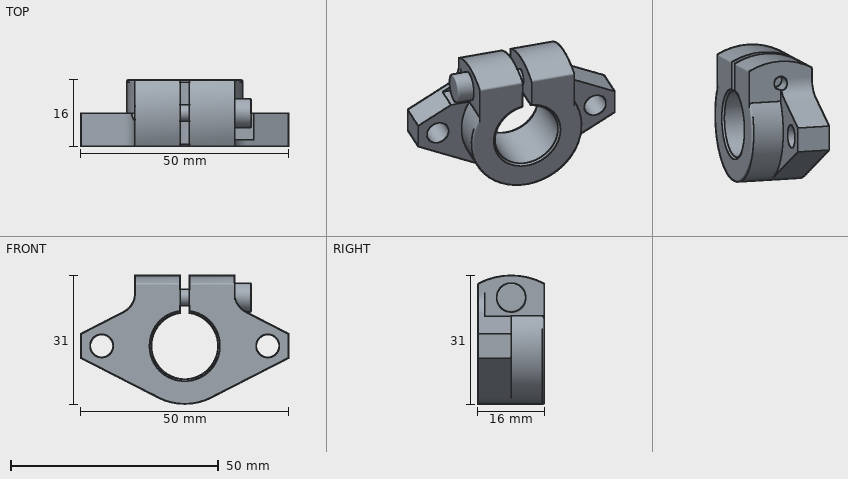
import cadquery as cq
import math

length = 50.0
depth = 16.0
flange_thickness = 8.0
flange_end_height = 5.85
mount_hole_diameter = 5.5
mount_hole_spacing = 40.0

bore_diameter = 16.0
bore_chamfer = 0.5
ring_radius = 14.0
ring_edge_fillet = 0.5

clamp_width = 24.0
clamp_top_radius = 17.0
clamp_edge_fillet = 0.5
clamp_root_fillet = 5.0
slot_width = 2.25

screw_height = 11.65
screw_diameter = 4.0
screw_length = 20.0
screw_head_diameter = 7.0
screw_head_height = 4.0
screw_head_fillet = 0.4
tapping_diameter = 3.24

relief_floor_height = 7.2
relief_front_wall = 1.65

front_face = -depth / 2
rear_face = depth / 2
flange_rear = front_face + flange_thickness
half_length = length / 2
half_clamp = clamp_width / 2
half_end = flange_end_height / 2
screw_tip = half_clamp - screw_length

corner_distance = math.hypot(half_length, half_end)
tangent_angle = math.acos(ring_radius / corner_distance) + math.atan2(half_end, half_length)
tangent_x = ring_radius * math.cos(tangent_angle)
tangent_z = ring_radius * math.sin(tangent_angle)


def prism(outline, y_start, y_end):
    """Extrude a closed XZ outline between two Y positions."""
    return outline.extrude(-(y_end - y_start)).translate((0, y_start, 0))


def rod_x(diameter, x_start, x_end):
    """Cylinder along X on the screw axis."""
    circle = cq.Workplane("YZ", origin=(x_start, 0, screw_height)).circle(diameter / 2)
    return circle.extrude(x_end - x_start)


def make_flange():
    """Lozenge plate that wraps around the bottom of the ring."""
    outline = (
        cq.Workplane("XZ")
        .moveTo(-tangent_x, tangent_z)
        .lineTo(-half_length, half_end)
        .lineTo(-half_length, -half_end)
        .lineTo(-tangent_x, -tangent_z)
        .threePointArc((0, -ring_radius), (tangent_x, -tangent_z))
        .lineTo(half_length, -half_end)
        .lineTo(half_length, half_end)
        .lineTo(tangent_x, tangent_z)
        .close()
    )
    return prism(outline, front_face, flange_rear)


def make_ring():
    """Full-depth ring around the bore, rounded at its rear edge."""
    ring = prism(cq.Workplane("XZ").circle(ring_radius), front_face, rear_face)
    return ring.faces(">Y").edges().fillet(ring_edge_fillet)


def make_clamp_block():
    """Block above the shaft axis with a crowned top along X."""
    shoulder = math.sqrt(clamp_top_radius ** 2 - rear_face ** 2)
    block = (
        cq.Workplane("YZ", origin=(-half_clamp, 0, 0))
        .moveTo(front_face, 0)
        .lineTo(front_face, shoulder)
        .threePointArc((0, clamp_top_radius), (rear_face, shoulder))
        .lineTo(rear_face, 0)
        .close()
        .extrude(clamp_width)
    )
    shoulder_edges = block.faces("<Y or >Y").edges(">Z")
    return shoulder_edges.fillet(clamp_edge_fillet)


def make_root_fillet(side):
    """Concave web blending one flange slope into the clamp side; side is -1 or 1."""
    root_z = (ring_radius - half_clamp * math.cos(tangent_angle)) / math.sin(tangent_angle)
    setback = clamp_root_fillet * math.tan(tangent_angle / 2)
    center_x = half_clamp + clamp_root_fillet
    center_z = root_z + setback
    end_x = center_x - clamp_root_fillet * math.cos(tangent_angle)
    end_z = center_z - clamp_root_fillet * math.sin(tangent_angle)
    middle_x = center_x - clamp_root_fillet * math.cos(tangent_angle / 2)
    middle_z = center_z - clamp_root_fillet * math.sin(tangent_angle / 2)
    outline = (
        cq.Workplane("XZ")
        .moveTo(0, center_z)
        .lineTo(side * half_clamp, center_z)
        .threePointArc((side * middle_x, middle_z), (side * end_x, end_z))
        .lineTo(0, 0)
        .close()
    )
    return prism(outline, front_face, flange_rear)


def make_bore_cutter():
    """Shaft bore with a chamfer at both mouths."""
    bore_radius = bore_diameter / 2
    mouth_radius = bore_radius + bore_chamfer
    profile = (
        cq.Workplane("XY")
        .moveTo(0, front_face)
        .lineTo(mouth_radius, front_face)
        .lineTo(bore_radius, front_face + bore_chamfer)
        .lineTo(bore_radius, rear_face - bore_chamfer)
        .lineTo(mouth_radius, rear_face)
        .lineTo(0, rear_face)
        .close()
    )
    return profile.revolve(360, (0, 0, 0), (0, 1, 0))


def make_slot_cutter():
    """Clamping slot from the bore up through the crown."""
    return cq.Workplane("XY").box(slot_width, depth, clamp_top_radius, centered=(True, True, False))


def make_relief_cutter():
    """Flat-floored clearance in the flange below the screw head."""
    front_wall = front_face + relief_front_wall
    size = (half_length - half_clamp, flange_rear - front_wall, clamp_top_radius)
    relief = cq.Workplane("XY").box(*size, centered=False)
    return relief.translate((half_clamp, front_wall, relief_floor_height))


def make_mount_holes():
    """Bolt holes through both flange ears."""
    holes = cq.Workplane("XZ").rarray(mount_hole_spacing, 1, 2, 1).circle(mount_hole_diameter / 2)
    return prism(holes, front_face, flange_rear)


def make_housing():
    body = make_flange().union(make_ring()).union(make_clamp_block())
    for side in (-1, 1):
        body = body.union(make_root_fillet(side))
    body = body.cut(make_bore_cutter()).cut(make_slot_cutter())
    body = body.cut(make_mount_holes()).cut(make_relief_cutter())
    body = body.cut(rod_x(tapping_diameter, -half_length, screw_tip))
    return body.cut(rod_x(screw_diameter, screw_tip, half_clamp))


def make_screw():
    """Clamping screw with its head seated on the +X side of the clamp."""
    head = rod_x(screw_head_diameter, half_clamp, half_clamp + screw_head_height)
    head = head.faces(">X").edges().fillet(screw_head_fillet)
    return head.union(rod_x(screw_diameter, screw_tip, half_clamp))


housing = make_housing()
screw = make_screw()
result = cq.Compound.makeCompound([housing.solids().val(), screw.solids().val()])